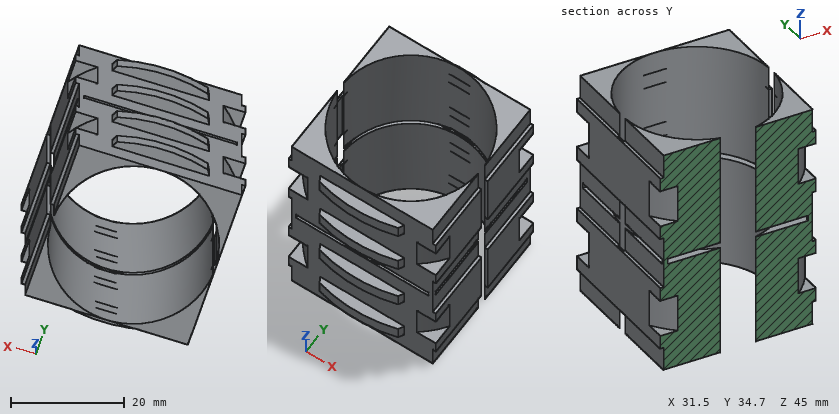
import cadquery as cq

height = 45.0
body_side = 30.2
bore_radius = 15.08
tier_offset = 11.48

width_over_plates = 31.5
plate_height = 12.8

relief_radius = 19.1
relief_height = 7.25

depth_over_ribs = 34.7
rib_height = 2.8
rib_offset = 5.55
rib_base_half_width = 9.0
rib_crest_half_width = 8.4
rib_bow = 1.15

split_width = 2.0
plate_web = 0.4

slit_height = 1.0
slit_length = 28.35

half_side = body_side / 2
tier_levels = (-tier_offset, tier_offset)


def make_body():
    body = cq.Workplane("XY").box(body_side, body_side, height)
    for level in tier_levels:
        plates = cq.Workplane("XY").box(width_over_plates, body_side, plate_height)
        body = body.union(plates.translate((0, 0, level)))
    return body


def make_corner_relief():
    """Everything outside the relief cylinder, over the relief height."""
    block = cq.Workplane("XY").box(depth_over_ribs, depth_over_ribs, relief_height)
    core = cq.Workplane("XY").cylinder(relief_height, relief_radius)
    return block.cut(core)


def make_rib():
    """Rib on the +Y wall, centred on the middle height."""
    crest = depth_over_ribs / 2
    shoulder = crest - rib_bow
    return (
        cq.Workplane("XY")
        .moveTo(-rib_base_half_width, half_side)
        .lineTo(-rib_crest_half_width, shoulder)
        .threePointArc((0, crest), (rib_crest_half_width, shoulder))
        .lineTo(rib_base_half_width, half_side)
        .close()
        .extrude(rib_height / 2, both=True)
    )


def make_split():
    """Full-height split, open through +X and stopped by the web of the -X plates."""
    start = -(width_over_plates / 2 - plate_web)
    length = width_over_plates / 2 - start
    return (
        cq.Workplane("XY")
        .box(length, split_width, height, centered=(False, True, True))
        .translate((start, 0, 0))
    )


def make_slits():
    along_x = cq.Workplane("XY").box(slit_length, body_side, slit_height)
    along_y = cq.Workplane("XY").box(body_side, slit_length, slit_height)
    return along_x.union(along_y)


result = make_body()

relief = make_corner_relief()
for level in tier_levels:
    result = result.cut(relief.translate((0, 0, level)))

bore = cq.Workplane("XY").cylinder(height, bore_radius)
result = result.cut(bore).cut(make_split()).cut(make_slits())

front_and_back_ribs = make_rib().add(make_rib().mirror("XZ")).combine()
for level in tier_levels:
    for offset in (-rib_offset, rib_offset):
        result = result.union(front_and_back_ribs.translate((0, 0, level + offset)))